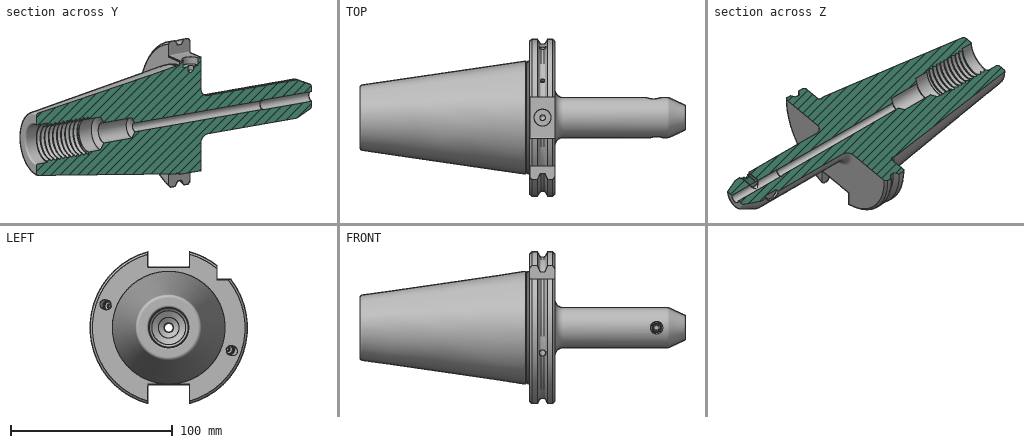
import cadquery as cq
import math


gauge_radius = 69.85 / 2
taper_length = 101.75
taper_slope = 7 / 48
small_end_radius = gauge_radius - taper_length * taper_slope
small_end_fillet = 2.0

relief_start_x = 0.8
relief_depth = 0.8

flange_start_x = 3.2
flange_end_x = 19.1
flange_radius = 97.5 / 2
flange_chamfer = 1.5
groove_x = 11.4
groove_floor_radius = 45.7
groove_mouth_width = 6.4
groove_wall_angle = 30.0
groove_floor_fillet = 1.0

slot_width = 25.7
upper_slot_floor = 37.7
lower_slot_floor = 35.5
notch_offset = 30.0
slot_corner_fillet = 0.5
slot_edge_chamfer = 0.5

pocket_diameter = 10.5
pocket_depth = 4.6
pilot_diameter = 3.5
pilot_depth = 3.0

nose_radius = 12.5
nose_end_x = 100.0
nose_cone_length = 10.6
nose_cone_angle = 25.0
nose_root_fillet = 5.0
nose_shoulder_fillet = 2.7
nose_tip_fillet = 1.5

pilot_bore_radius = 12.5
pilot_bore_depth = 8.0
bore_mouth_fillet = 1.2
thread_core_radius = 10.5
thread_bore_depth = 47.0
thread_major_radius = 12.0
thread_pitch = 3.0
thread_turns = 10
inner_bore_radius = 6.4
inner_bore_depth = 70.0
coolant_bore_radius = 2.7
tool_bore_radius = 3.0
tool_bore_depth = 36.0
drill_half_angle = 59.0

coolant_angles = (20.0, 200.0)
feed_hole_diameter = 6.0
feed_hole_radius = 41.7
feed_hole_tilt = 30.0
feed_hole_depth = 2.4
feed_core_diameter = 5.0
feed_core_depth = 4.0
feed_channel_diameter = 2.5
feed_channel_depth = 10.0
cross_hole_diameter = 4.0
cross_hole_inner_radius = 8.0

dimple_angle = 60.0
dimple_diameter = 2.5
dimple_depth = 3.0

screw_x = nose_end_x - 18.0
screw_diameter = 6.0
screw_mouth_diameter = 7.7
screw_mouth_radius = 11.8
screw_face_radius = 11.2
screw_chamfer = 0.6
screw_socket_width = 3.0
screw_socket_depth = 2.0
recess_x = 80.1
recess_diameter = 9.0
recess_depth = 2.0


def turned(profile):
    """Solid of revolution of a closed XY profile about X."""
    return profile.close().revolve(360, (0, 0, 0), (1, 0, 0))


def cone_length(large_radius, small_radius):
    """Length of a drill-point cone between two radii."""
    return (large_radius - small_radius) / math.tan(math.radians(drill_half_angle))


def drilled(start, direction, diameter, depth):
    """Pointed drill shape from a start point along a direction."""
    radius = diameter / 2
    plane = cq.Plane(origin=start, normal=direction)
    hole = cq.Workplane(plane).circle(radius).extrude(depth)
    point = cq.Solid.makeCone(
        radius, 0, cone_length(radius, 0), plane.origin + plane.zDir * depth, plane.zDir
    )
    return hole.union(cq.Workplane(point))


def set_screw(face_centre, inward, diameter, length, chamfer, socket_width, socket_depth):
    """Headless screw with a hexagon socket in the face at face_centre."""
    plane = cq.Plane(origin=face_centre, normal=inward)
    blank = cq.Workplane(plane).circle(diameter / 2).extrude(length)
    blank = blank.edges(cq.selectors.NearestToPointSelector(face_centre)).chamfer(chamfer)
    across_corners = socket_width / math.cos(math.pi / 6)
    return blank.cut(cq.Workplane(plane).polygon(6, across_corners).extrude(socket_depth))


def radial_direction(degrees):
    """Unit vector square to X, at an angle from +Y towards +Z."""
    angle = math.radians(degrees)
    return cq.Vector(0, math.cos(angle), math.sin(angle))


def make_taper():
    taper = turned(
        cq.Workplane("XY").polyline([
            (-taper_length, 0),
            (-taper_length, small_end_radius),
            (0, gauge_radius),
            (relief_start_x, gauge_radius),
            (relief_start_x + relief_depth, gauge_radius - relief_depth),
            (relief_start_x + 2 * relief_depth, gauge_radius),
            (flange_end_x, gauge_radius),
            (flange_end_x, 0),
        ])
    )
    return taper.faces("<X").edges().fillet(small_end_fillet)


def make_flange():
    width = flange_end_x - flange_start_x
    flange = cq.Workplane("YZ", origin=(flange_start_x, 0, 0)).circle(flange_radius).extrude(width)
    return flange.edges("%CIRCLE").chamfer(flange_chamfer).cut(make_groove())


def make_groove():
    half_mouth = groove_mouth_width / 2
    depth = flange_radius - groove_floor_radius
    half_floor = half_mouth - depth * math.tan(math.radians(groove_wall_angle))
    groove = turned(
        cq.Workplane("XY").polyline([
            (groove_x - half_floor, groove_floor_radius),
            (groove_x - half_mouth, flange_radius),
            (groove_x + half_mouth, flange_radius),
            (groove_x + half_floor, groove_floor_radius),
        ])
    )
    return groove.edges(cq.selectors.RadiusNthSelector(0)).fillet(groove_floor_fillet)


def make_nose():
    cone_start_x = nose_end_x - nose_cone_length
    tip_radius = nose_radius - nose_cone_length * math.tan(math.radians(nose_cone_angle))
    root_radius = nose_radius + nose_root_fillet
    nose = turned(
        cq.Workplane("XY")
        .lineTo(0, root_radius)
        .lineTo(flange_end_x, root_radius)
        .radiusArc((flange_end_x + nose_root_fillet, nose_radius), -nose_root_fillet)
        .lineTo(cone_start_x, nose_radius)
        .lineTo(nose_end_x, tip_radius)
        .lineTo(nose_end_x, 0)
    )
    shoulder = cq.selectors.NearestToPointSelector((cone_start_x, 0, 0))
    return nose.edges(shoulder).fillet(nose_shoulder_fillet).faces(">X").edges().fillet(nose_tip_fillet)


def make_bore():
    """Stepped bore along X; the thread is a row of V-shaped rings."""
    pilot_end_x = -taper_length + pilot_bore_depth
    thread_end_x = -taper_length + thread_bore_depth
    inner_end_x = -taper_length + inner_bore_depth
    tool_start_x = nose_end_x - tool_bore_depth
    profile = (
        cq.Workplane("XY")
        .moveTo(-taper_length, 0)
        .lineTo(-taper_length, pilot_bore_radius + bore_mouth_fillet)
        .radiusArc((-taper_length + bore_mouth_fillet, pilot_bore_radius), -bore_mouth_fillet)
        .lineTo(pilot_end_x, pilot_bore_radius)
        .lineTo(pilot_end_x, thread_major_radius)
    )
    for turn in range(thread_turns):
        turn_start_x = pilot_end_x + turn * thread_pitch
        profile = profile.lineTo(turn_start_x + thread_pitch / 2, thread_core_radius)
        profile = profile.lineTo(turn_start_x + thread_pitch, thread_major_radius)
    profile = (
        profile.lineTo(pilot_end_x + thread_turns * thread_pitch, thread_core_radius)
        .lineTo(thread_end_x, thread_core_radius)
        .lineTo(thread_end_x + cone_length(thread_core_radius, inner_bore_radius), inner_bore_radius)
        .lineTo(inner_end_x, inner_bore_radius)
        .lineTo(inner_end_x + cone_length(inner_bore_radius, coolant_bore_radius), coolant_bore_radius)
        .lineTo(tool_start_x, coolant_bore_radius)
        .lineTo(tool_start_x, tool_bore_radius)
        .lineTo(nose_end_x, tool_bore_radius)
        .lineTo(nose_end_x, 0)
    )
    return turned(profile)


def slot_cutter(y_low, y_high, z_low, z_high):
    """Box through the flange along X, widened by a chamfer at the taper side of the flange."""
    length = flange_end_x - flange_start_x
    centre = ((y_low + y_high) / 2, (z_low + z_high) / 2)
    width = y_high - y_low
    height = z_high - z_low
    box = cq.Workplane("YZ", origin=(flange_start_x, 0, 0)).center(*centre).rect(width, height)
    box = box.extrude(length).edges("|X").fillet(slot_corner_fillet)
    lead = cq.Workplane("YZ", origin=(flange_start_x, 0, 0)).center(*centre)
    lead = lead.rect(width, height + 2 * slot_edge_chamfer)
    lead = lead.workplane(offset=slot_edge_chamfer).rect(width, height).loft(ruled=True)
    return box.union(lead)


def make_slots():
    half = slot_width / 2
    upper = slot_cutter(-half, half, upper_slot_floor, 2 * flange_radius)
    lower = slot_cutter(-half, half, -2 * flange_radius, -lower_slot_floor)
    notch = slot_cutter(-2 * flange_radius, -notch_offset, notch_offset, 2 * flange_radius)
    return upper.union(lower).union(notch)


def make_chip_pocket():
    floor_centre = (groove_x, 0, upper_slot_floor - pocket_depth)
    pocket = cq.Workplane("XY", origin=floor_centre).circle(pocket_diameter / 2).extrude(pocket_depth)
    return pocket.union(drilled(floor_centre, (0, 0, -1), pilot_diameter, pilot_depth))


def feed_hole_axis(degrees):
    """Point where a feed hole meets the flange face, and its direction into the flange."""
    tilt = math.radians(feed_hole_tilt)
    outward = radial_direction(degrees)
    mouth = cq.Vector(flange_start_x, 0, 0) + outward * feed_hole_radius
    inward = cq.Vector(math.cos(tilt), 0, 0) - outward * math.sin(tilt)
    return mouth, inward


def cut_coolant_holes(body):
    """Cut the stepped feed holes and the radial cross holes that meet them."""
    run_in = feed_hole_diameter
    feed_steps = [
        (feed_hole_diameter, feed_hole_depth),
        (feed_core_diameter, feed_core_depth),
        (feed_channel_diameter, feed_channel_depth),
    ]
    for degrees in coolant_angles:
        mouth, inward = feed_hole_axis(degrees)
        start = mouth - inward * run_in
        for diameter, depth in feed_steps:
            body = body.cut(drilled(start, inward, diameter, run_in + depth))
        outward = radial_direction(degrees)
        cross_start = cq.Vector(groove_x, 0, 0) + outward * flange_radius
        cross = drilled(
            cross_start, outward * -1, cross_hole_diameter, flange_radius - cross_hole_inner_radius
        )
        body = body.cut(cross)
    return body


def make_dimple():
    outward = radial_direction(dimple_angle)
    start = cq.Vector(groove_x, 0, 0) + outward * flange_radius
    depth = flange_radius - groove_floor_radius + dimple_depth
    return drilled(start, outward * -1, dimple_diameter, depth)


def make_screw_hole():
    plane = cq.Workplane("XZ", origin=(screw_x, 0, 0))
    hole = plane.circle(screw_diameter / 2).extrude(nose_radius)
    cone_depth = screw_mouth_radius - screw_face_radius
    cone = plane.workplane(offset=screw_face_radius).circle(screw_diameter / 2)
    cone = cone.workplane(offset=cone_depth).circle(screw_mouth_diameter / 2).loft(ruled=True)
    mouth = plane.workplane(offset=screw_mouth_radius).circle(screw_mouth_diameter / 2)
    return hole.union(cone).union(mouth.extrude(nose_radius - screw_mouth_radius))


def make_recess():
    plane = cq.Workplane("XZ", origin=(recess_x, nose_radius, 0))
    return plane.circle(recess_diameter / 2).extrude(recess_depth)


def make_holder():
    holder = make_taper().union(make_flange()).union(make_nose())
    holder = holder.cut(make_slots()).cut(make_bore()).cut(make_chip_pocket())
    holder = cut_coolant_holes(holder).cut(make_dimple())
    return holder.cut(make_screw_hole()).cut(make_recess())


def make_clamping_screw():
    length = screw_face_radius - tool_bore_radius
    return set_screw(
        (screw_x, -screw_face_radius, 0), (0, 1, 0), screw_diameter, length,
        screw_chamfer, screw_socket_width, screw_socket_depth,
    )


holder = make_holder()
clamping_screw = make_clamping_screw()

result = cq.Compound.makeCompound([holder.val(), clamping_screw.val()])